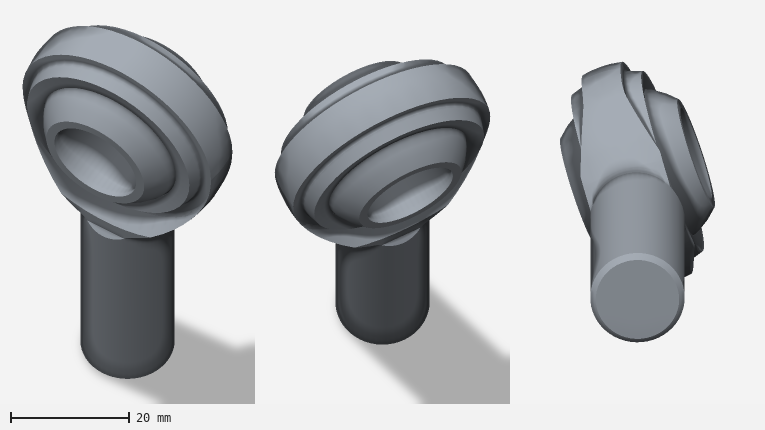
import cadquery as cq
import math


BALL_RADIUS = 14.3
BALL_WIDTH = 21.0
BORE_RADIUS = 8.1

EYE_DIAMETER = 38.0
EYE_RADIUS = EYE_DIAMETER / 2
EYE_HALF_WIDTH = 3.5
CROWN_RADIUS = 17.0
CHEEK_RADIUS = 28.4
CHEEK_OFFSET = CHEEK_RADIUS - EYE_RADIUS

RING_HALF_WIDTH = 6.3
RING_DISH_DEPTH = 0.5
RING_TIP_RADIUS = 16.1
RING_ROOT_RADIUS = 16.8
RING_ROOT_FILLET = 0.5

FLARE_INNER_RADIUS = 19.2
FLARE_OUTER_RADIUS = 21.6
FLARE_FILLET = 0.85
NECK_WIDTH = 14.2
NECK_HALF_WIDTH = NECK_WIDTH / 2
NECK_FLAT_END_Z = -23.9
NECK_FILLET = 1.3

OVERALL_LENGTH = 85.0
SHANK_RADIUS = 8.0
SHANK_TOP_Z = -17.0
SHANK_BOTTOM_Z = EYE_RADIUS - OVERALL_LENGTH
SHANK_CHAMFER = 0.9

SEAM_TOP_Z = -18.7
SEAM_BOTTOM_Z = -27.2
NECK_SEAM = cq.selectors.BoxSelector(
    (-SHANK_RADIUS, -SHANK_RADIUS, SEAM_BOTTOM_Z),
    (SHANK_RADIUS, SHANK_RADIUS, SEAM_TOP_Z),
)

ENVELOPE = 4 * EYE_RADIUS


def revolve_about_y(profile):
    """Revolve an XY profile, drawn as (radius, y), a full turn about the Y axis."""
    return profile.close().revolve(360, (0, 0, 0), (0, 1, 0))


def crowned_disc(radius):
    """Disc about Y with a rim that bulges outward at mid-width."""
    sag = CROWN_RADIUS - math.sqrt(CROWN_RADIUS**2 - NECK_HALF_WIDTH**2)
    edge = radius - sag
    return revolve_about_y(
        cq.Workplane("XY")
        .moveTo(0, -NECK_HALF_WIDTH)
        .lineTo(edge, -NECK_HALF_WIDTH)
        .threePointArc((radius, 0), (edge, NECK_HALF_WIDTH))
        .lineTo(0, NECK_HALF_WIDTH)
    )


def make_eye_blank():
    """Round upper half joined to a lower half whose cheeks taper into the shank."""
    upper_space = cq.Workplane("XY").box(ENVELOPE, ENVELOPE, ENVELOPE, centered=(True, True, False))
    upper = crowned_disc(EYE_RADIUS).intersect(upper_space)
    cheek = crowned_disc(CHEEK_RADIUS)
    left_cheek = cheek.translate((CHEEK_OFFSET, 0, 0))
    right_cheek = cheek.translate((-CHEEK_OFFSET, 0, 0))
    lower = left_cheek.intersect(right_cheek).cut(upper_space)
    return upper.union(lower)


def make_shank():
    """Round shank with a chamfered free end."""
    return (
        cq.Workplane("XY", origin=(0, 0, SHANK_BOTTOM_Z))
        .circle(SHANK_RADIUS)
        .extrude(SHANK_TOP_Z - SHANK_BOTTOM_Z)
        .faces("<Z")
        .chamfer(SHANK_CHAMFER)
    )


def make_neck_blend():
    """Eye and shank joined between the neck flats, with a concave fillet along their seam."""
    slab = cq.Workplane("XY").box(ENVELOPE, 2 * NECK_HALF_WIDTH, 3 * OVERALL_LENGTH)
    joined = make_eye_blank().union(make_shank()).intersect(slab)
    return joined.edges(NECK_SEAM).fillet(NECK_FILLET)


def make_face_cutter():
    """Space in front of the +Y eye face, bounded by the ring root and the conical flare."""
    flare_rise = NECK_HALF_WIDTH - EYE_HALF_WIDTH
    flare_slope = math.atan2(flare_rise, FLARE_OUTER_RADIUS - FLARE_INNER_RADIUS)
    tangent = FLARE_FILLET * math.tan(flare_slope / 2)
    fillet_start = FLARE_INNER_RADIUS - tangent
    fillet_middle = (
        fillet_start + FLARE_FILLET * math.sin(flare_slope / 2),
        EYE_HALF_WIDTH + FLARE_FILLET * (1 - math.cos(flare_slope / 2)),
    )
    fillet_end = (
        FLARE_INNER_RADIUS + tangent * math.cos(flare_slope),
        EYE_HALF_WIDTH + tangent * math.sin(flare_slope),
    )
    return revolve_about_y(
        cq.Workplane("XY")
        .moveTo(0, EYE_HALF_WIDTH)
        .lineTo(fillet_start, EYE_HALF_WIDTH)
        .threePointArc(fillet_middle, fillet_end)
        .lineTo(FLARE_OUTER_RADIUS, NECK_HALF_WIDTH)
        .lineTo(0, NECK_HALF_WIDTH)
    )


def make_neck_flat_cutter():
    """Space outside the +Y neck flat, ending below in a 45 degree run-out."""
    outer_y = 2 * SHANK_RADIUS
    run_out = outer_y - NECK_HALF_WIDTH
    return (
        cq.Workplane("YZ")
        .moveTo(NECK_HALF_WIDTH, 0)
        .lineTo(NECK_HALF_WIDTH, NECK_FLAT_END_Z)
        .lineTo(outer_y, NECK_FLAT_END_Z - run_out)
        .lineTo(outer_y, 0)
        .close()
        .extrude(SHANK_RADIUS, both=True)
    )


def make_ring():
    """Tapered ring on the +Y eye face, filleted at its root and dished toward the ball."""
    dish_y = RING_HALF_WIDTH - RING_DISH_DEPTH
    dish_foot = math.sqrt(BALL_RADIUS**2 - dish_y**2)
    fillet_top = EYE_HALF_WIDTH + RING_ROOT_FILLET
    fillet_foot = RING_ROOT_RADIUS + RING_ROOT_FILLET
    fillet_inset = RING_ROOT_FILLET * (1 - math.sqrt(0.5))
    return revolve_about_y(
        cq.Workplane("XY")
        .lineTo(fillet_foot, 0)
        .lineTo(fillet_foot, EYE_HALF_WIDTH)
        .threePointArc(
            (RING_ROOT_RADIUS + fillet_inset, EYE_HALF_WIDTH + fillet_inset),
            (RING_ROOT_RADIUS, fillet_top),
        )
        .lineTo(RING_TIP_RADIUS, RING_HALF_WIDTH)
        .lineTo(dish_foot, dish_y)
        .lineTo(0, dish_y)
    )


def on_both_sides(shape):
    """The shape and its mirror image across the XZ plane."""
    return [shape, shape.mirror("XZ")]


def make_ball_zone(inner_radius):
    """Sphere trimmed to two flat ends, with an optional bore along Y (inner radius 0 for none)."""
    half_width = BALL_WIDTH / 2
    end_radius = math.sqrt(BALL_RADIUS**2 - half_width**2)
    return revolve_about_y(
        cq.Workplane("XY")
        .moveTo(inner_radius, -half_width)
        .lineTo(end_radius, -half_width)
        .threePointArc((BALL_RADIUS, 0), (end_radius, half_width))
        .lineTo(inner_radius, half_width)
    )


def make_rod_end():
    """Eye, neck and shank in one piece, with a spherical socket for the ball."""
    body = make_neck_blend()
    shank = make_shank()
    for cutter in on_both_sides(make_neck_flat_cutter()):
        shank = shank.cut(cutter)
    body = body.union(shank)
    for cutter in on_both_sides(make_face_cutter()):
        body = body.cut(cutter)
    for ring in on_both_sides(make_ring()):
        body = body.union(ring)
    return body.cut(make_ball_zone(0))


def make_ball():
    """Truncated ball with a through bore along Y."""
    return make_ball_zone(BORE_RADIUS)


rod_end = make_rod_end()
ball = make_ball()

result = cq.Compound.makeCompound([rod_end.val(), ball.val()])